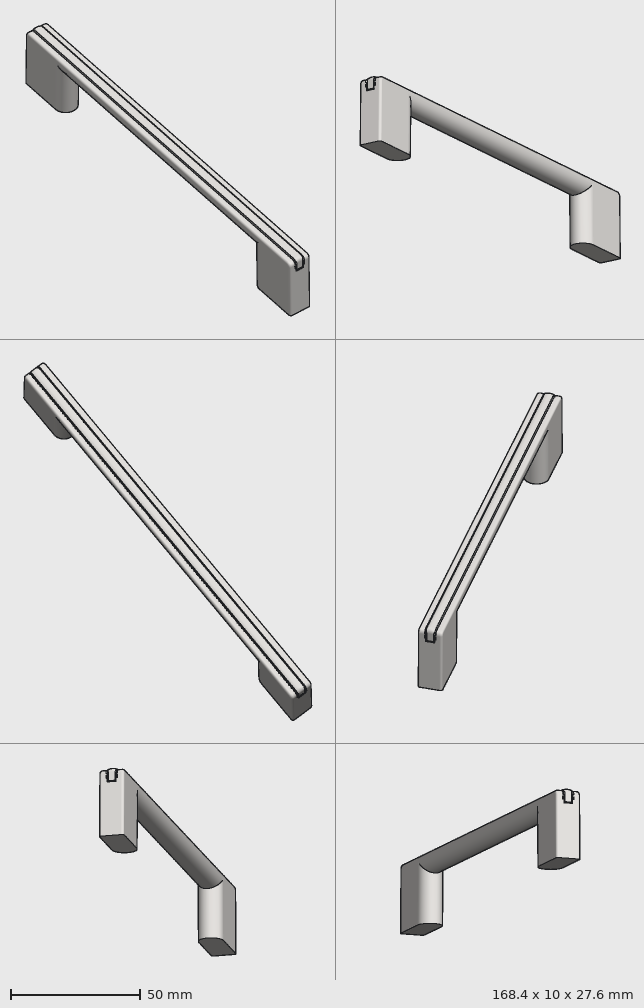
import cadquery as cq
import math

LENGTH = 168.4
WIDTH = 10.0
HALF_WIDTH = WIDTH / 2
SHOULDER_HEIGHT = 27.0
EDGE_RADIUS = 1.0
END_RADIUS = 1.9

LEG_LENGTH = 24.5
LEG_LEAN = 0.42
LEAN_ANGLE = math.degrees(math.atan(LEG_LEAN / SHOULDER_HEIGHT))

BAR_UNDERSIDE = 19.9

STRIP_HALF_WIDTH = 1.77
STRIP_BOTTOM = 21.9
STRIP_EDGE_HEIGHT = 27.3
STRIP_CROWN_HEIGHT = 27.6
STRIP_INSET = 0.5
STRIP_BEVEL = 0.42
BARB_REACH = 0.5
BARB_BOTTOM = 23.4
BARB_TOP = 24.5

CHANNEL_WIDTH = 0.5
CHANNEL_FLOOR = 25.3


def make_envelope():
    """Solid handle blank with leaning ends, rounded top corners and rounded long edges."""
    blank = (
        cq.Workplane("XZ", origin=(0, HALF_WIDTH, 0))
        .polyline([
            (0, 0),
            (LENGTH, 0),
            (LENGTH - LEG_LEAN, SHOULDER_HEIGHT),
            (LEG_LEAN, SHOULDER_HEIGHT),
        ])
        .close()
        .extrude(WIDTH)
    )
    blank = blank.edges("|Y and >Z").fillet(END_RADIUS)
    side_edges = blank.faces("<Y or >Y").edges("not <Z")
    return side_edges.fillet(EDGE_RADIUS)


def make_left_leg():
    """Leaning leg with a half-round inner face, taller than the handle at both ends."""
    spare = 1.7
    round_centre_x = LEG_LENGTH - HALF_WIDTH
    return (
        cq.Workplane("XY", origin=(0, 0, -spare))
        .moveTo(-spare, -HALF_WIDTH)
        .lineTo(round_centre_x, -HALF_WIDTH)
        .threePointArc((LEG_LENGTH, 0), (round_centre_x, HALF_WIDTH))
        .lineTo(-spare, HALF_WIDTH)
        .close()
        .extrude(SHOULDER_HEIGHT + 2 * spare)
        .rotate((0, 0, 0), (0, 1, 0), LEAN_ANGLE)
    )


def make_bar():
    """Bar with a half-round underside, running from inside one leg to inside the other."""
    round_centre_z = BAR_UNDERSIDE + HALF_WIDTH
    overlap_x = LEG_LENGTH / 2
    return (
        cq.Workplane("YZ", origin=(overlap_x, 0, 0))
        .moveTo(-HALF_WIDTH, SHOULDER_HEIGHT)
        .lineTo(-HALF_WIDTH, round_centre_z)
        .threePointArc((0, BAR_UNDERSIDE), (HALF_WIDTH, round_centre_z))
        .lineTo(HALF_WIDTH, SHOULDER_HEIGHT)
        .close()
        .extrude(LENGTH - 2 * overlap_x)
    )


def make_channels():
    """Clearance beside the strip, cut down from the shoulders along the whole handle."""
    width = 2 * (STRIP_HALF_WIDTH + CHANNEL_WIDTH)
    depth = SHOULDER_HEIGHT - CHANNEL_FLOOR
    return (
        cq.Workplane("XY", origin=(0, 0, CHANNEL_FLOOR))
        .box(LENGTH, width, depth, centered=(False, True, False))
    )


def extrude_strip(inset):
    """Strip section with a barb on each side and a crowned top, stopping short of both ends."""
    barb_half_width = STRIP_HALF_WIDTH + BARB_REACH
    right_side = [
        (STRIP_HALF_WIDTH, STRIP_BOTTOM),
        (STRIP_HALF_WIDTH, BARB_BOTTOM),
        (barb_half_width, BARB_BOTTOM),
        (barb_half_width, BARB_TOP),
        (STRIP_HALF_WIDTH, BARB_TOP),
        (STRIP_HALF_WIDTH, STRIP_EDGE_HEIGHT),
    ]
    left_side = [(-y, z) for y, z in reversed(right_side)]
    return (
        cq.Workplane("YZ", origin=(inset, 0, 0))
        .polyline(right_side)
        .threePointArc((0, STRIP_CROWN_HEIGHT), left_side[0])
        .polyline(left_side, includeCurrent=False)
        .close()
        .extrude(LENGTH - 2 * inset)
    )


def make_strip():
    strip = extrude_strip(STRIP_INSET)
    strip = strip.faces("<X or >X").edges("not >Z").chamfer(STRIP_BEVEL)
    return strip.faces("<X or >X").edges(">Z").fillet(END_RADIUS)


left_leg = make_left_leg()
right_leg = left_leg.mirror("YZ", (LENGTH / 2, 0, 0))
body = make_bar().union(left_leg).union(right_leg).intersect(make_envelope())

slot = extrude_strip(0)
body = body.cut(make_channels()).cut(slot)

result = body.union(make_strip())